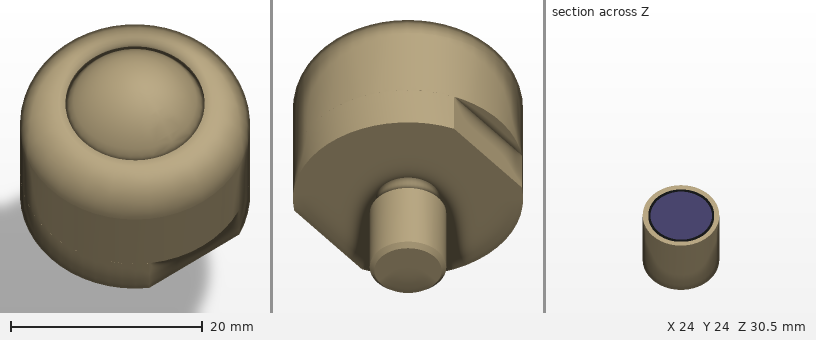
import cadquery as cq

total_height = 30.5
outer_diameter = 24.0
ball_radius = 8.02
mouth_radius = 7.25
cap_top = 26.5
cap_edge_radius = 4.0
base_top = 14.5
base_bottom = 10.0
across_flats = 21.0
neck_radius = 3.35
stud_radius = 4.0
stud_length = 8.0
stud_chamfer = 0.5

outer_radius = outer_diameter / 2
ball_center_z = total_height - ball_radius


def cylinder(radius, bottom, top):
    """Upright cylinder on the Z axis between two heights."""
    return cq.Workplane("XY").workplane(offset=bottom).circle(radius).extrude(top - bottom)


def make_ball():
    """Ball held by the cap; it rises above the mouth."""
    return cq.Workplane("XY").sphere(ball_radius).translate((0, 0, ball_center_z))


def make_cap(ball):
    """Rounded housing with a straight mouth and a spherical seat for the ball."""
    cap = cylinder(outer_radius, base_top, cap_top).faces(">Z").edges().fillet(cap_edge_radius)
    mouth = cylinder(mouth_radius, ball_center_z, cap_top)
    return cap.cut(ball).cut(mouth)


def make_base(ball):
    """Base with two wrench flats, a relieved neck and a chamfered stud."""
    flats_envelope = (
        cq.Workplane("XY")
        .workplane(offset=base_bottom)
        .rect(across_flats, outer_diameter)
        .extrude(base_top - base_bottom)
    )
    disc = cylinder(outer_radius, base_bottom, base_top).intersect(flats_envelope)
    neck = cylinder(neck_radius, stud_length, base_bottom)
    stud = cylinder(stud_radius, 0, stud_length).faces("<Z").edges().chamfer(stud_chamfer)
    return disc.union(neck).union(stud).cut(ball)


ball = make_ball()
cap = make_cap(ball)
base = make_base(ball)

result = cq.Compound.makeCompound([ball.val(), cap.val(), base.val()])